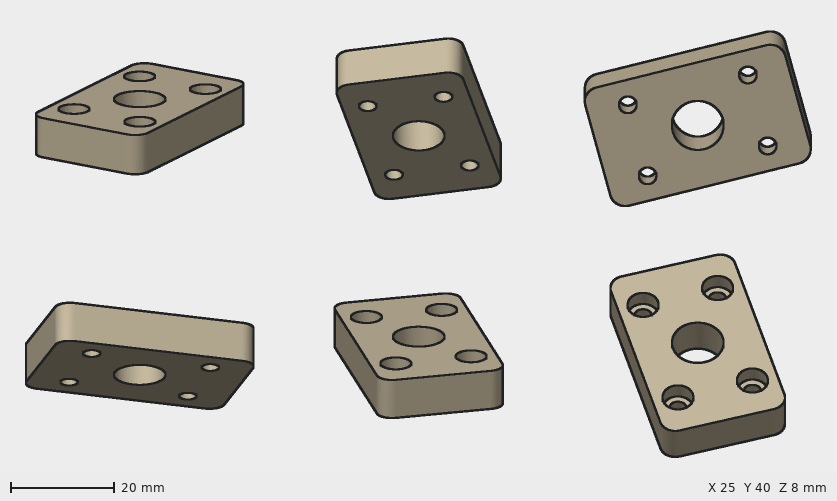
import cadquery as cq

width = 25.0
length = 40.0
thickness = 8.0
corner_radius = 3.0

bore_diameter = 10.0

screw_spacing_x = 15.0
screw_spacing_y = 24.0
screw_diameter = 3.4
counterbore_diameter = 6.0
counterbore_depth = 3.4


def make_plate():
    """Rectangular plate with rounded vertical edges, base on Z = 0."""
    plate = cq.Workplane("XY").box(width, length, thickness, centered=(True, True, False))
    return plate.edges("|Z").fillet(corner_radius)


def cut_bore(body):
    """Central through hole."""
    return body.faces(">Z").workplane(origin=(0, 0, thickness)).hole(bore_diameter)


def cut_screw_holes(body):
    """Four through holes, counterbored from the top face."""
    top = body.faces(">Z").workplane(origin=(0, 0, thickness))
    corners = top.rect(screw_spacing_x, screw_spacing_y, forConstruction=True).vertices()
    return corners.cboreHole(screw_diameter, counterbore_diameter, counterbore_depth)


result = cut_screw_holes(cut_bore(make_plate()))